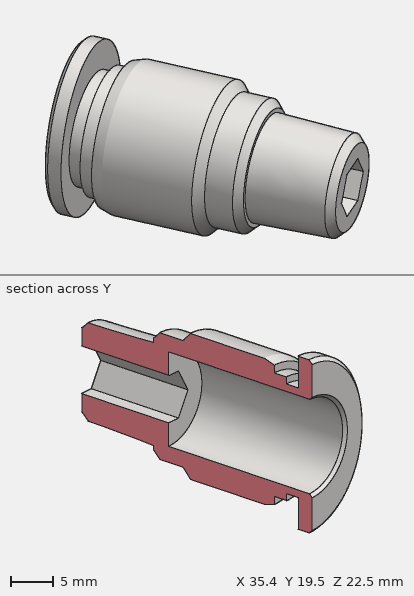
import cadquery as cq
import math

flange_end = 2.2
neck_end = 3.95
collar_end = 5.8
body_lead_end = 7.3
body_end = 18.7
shoulder_start = 19.85
shoulder_end = 23.4
thread_start = 24.4
thread_end = 34.4
total_length = 35.4

flange_width = 19.5
flange_height = 22.5
flange_chamfer = 0.5

neck_radius = 7.15
collar_radius = 8.05
body_lead_radius = 9.05
body_radius = 9.5
shoulder_radius = 8.25
shoulder_tip_radius = 7.25
thread_start_radius = 6.72
tip_radius = 5.45

thread_taper = 1 / 16
thread_end_radius = thread_start_radius - (thread_end - thread_start) * thread_taper / 2

bore_radius = 6.1
bore_mouth_chamfer = 0.4
bore_depth = 22.0
hex_across_flats = 6.1


def make_flange():
    """Oval flange with its front rim chamfered."""
    return (
        cq.Workplane("YZ")
        .ellipse(flange_width / 2, flange_height / 2)
        .extrude(flange_end)
        .faces("<X")
        .chamfer(flange_chamfer)
    )


def make_turned_body():
    """Neck, collar, main body, shoulder and tapered end revolved about X."""
    profile = [
        (flange_end, 0),
        (flange_end, neck_radius),
        (neck_end, neck_radius),
        (neck_end, collar_radius),
        (collar_end, collar_radius),
        (collar_end, body_lead_radius),
        (body_lead_end, body_radius),
        (body_end, body_radius),
        (shoulder_start, shoulder_radius),
        (shoulder_end, shoulder_radius),
        (thread_start, shoulder_tip_radius),
        (thread_start, thread_start_radius),
        (thread_end, thread_end_radius),
        (total_length, tip_radius),
        (total_length, 0),
    ]
    return cq.Workplane("XY").polyline(profile).close().revolve(360, (0, 0, 0), (1, 0, 0))


def make_tube_socket():
    """Blind round bore with a chamfered mouth."""
    profile = [
        (0, 0),
        (0, bore_radius + bore_mouth_chamfer),
        (bore_mouth_chamfer, bore_radius),
        (bore_depth, bore_radius),
        (bore_depth, 0),
    ]
    return cq.Workplane("XY").polyline(profile).close().revolve(360, (0, 0, 0), (1, 0, 0))


def make_hex_passage():
    """Hexagon with two corners on the Y axis, running the whole length."""
    across_corners = hex_across_flats / math.cos(math.pi / 6)
    return cq.Workplane("YZ").polygon(6, across_corners).extrude(total_length)


result = (
    make_flange()
    .union(make_turned_body())
    .cut(make_tube_socket())
    .cut(make_hex_passage())
)